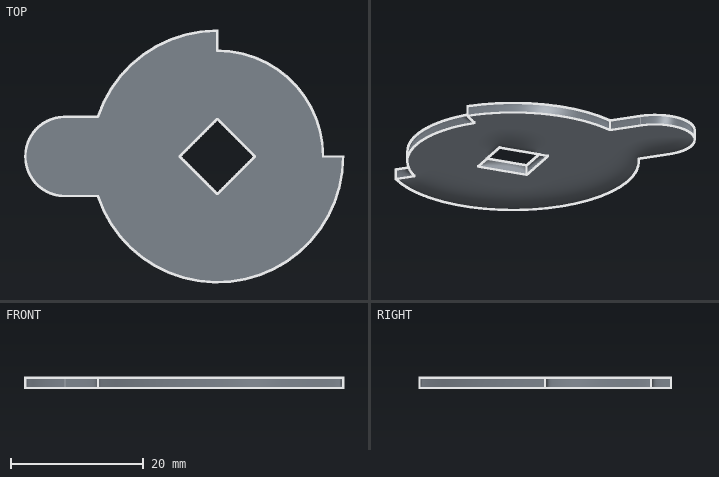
import cadquery as cq

overall_length = 48.0
thickness = 1.6
disc_radius = 19.0
step_radius = 16.0
tab_width = 12.0
square_side = 8.0

tab_reach = overall_length - disc_radius
tab_radius = tab_width / 2
tab_center_x = tab_radius - tab_reach


def make_stepped_disc():
    """Round plate whose +X +Y quarter is cut back to the step radius."""
    disc = cq.Workplane("XY").circle(disc_radius).extrude(thickness)
    quarter = cq.Workplane("XY").rect(disc_radius, disc_radius, centered=False).extrude(thickness)
    core = cq.Workplane("XY").circle(step_radius).extrude(thickness)
    return disc.cut(quarter).union(core)


def make_tab():
    """Round-ended handle running from the disc centre toward -X."""
    return (
        cq.Workplane("XY")
        .moveTo(0, tab_radius)
        .lineTo(tab_center_x, tab_radius)
        .threePointArc((-tab_reach, 0), (tab_center_x, -tab_radius))
        .lineTo(0, -tab_radius)
        .close()
        .extrude(thickness)
    )


def make_square_hole():
    """Through hole with its corners on the X and Y axes."""
    hole = cq.Workplane("XY").rect(square_side, square_side).extrude(thickness)
    return hole.rotate((0, 0, 0), (0, 0, 1), 45)


result = make_stepped_disc().union(make_tab()).cut(make_square_hole()).clean()